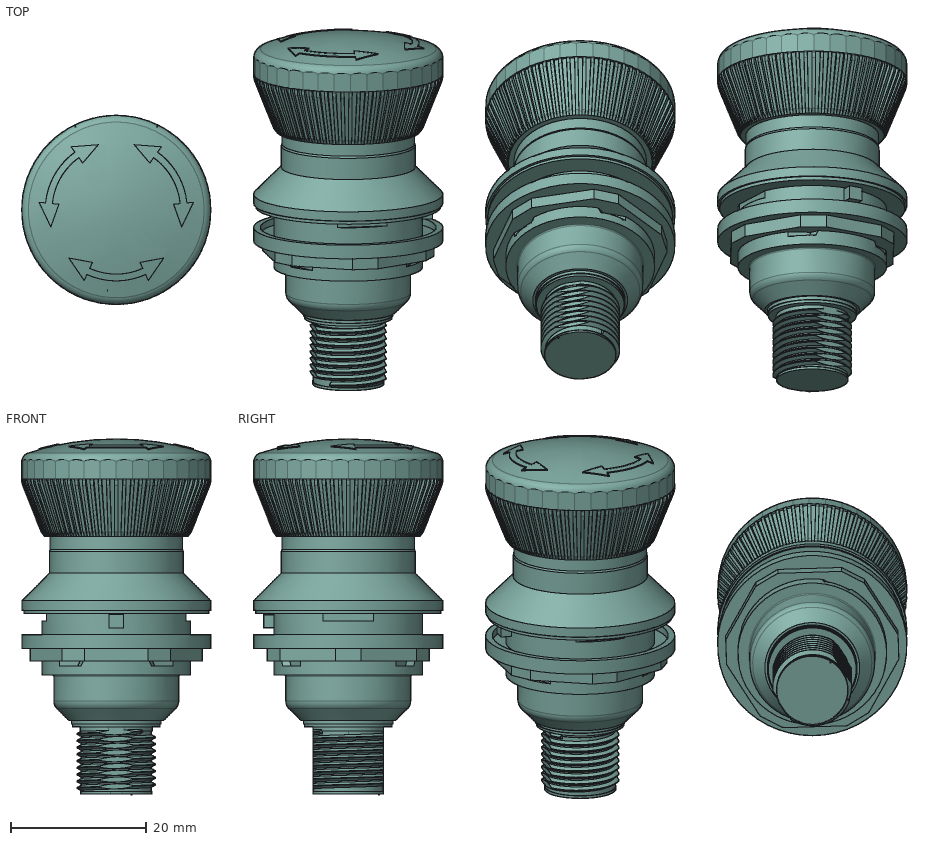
import cadquery as cq
import math


cap_radius = 14.0
cap_top_z = 52.56
cap_rim_bottom_z = 46.65
cap_bottom_z = 38.1
cap_foot_radius = 10.6
dome_edge_radius = 13.0
dome_height = 2.08
facet_count = 36

rib_count = 72
rib_width = 0.5
rib_height = 0.3
rib_root_depth = 1.0
rib_straight_length = 0.6
rib_foot_radius = 11.1
rib_foot_height = 0.65
rib_shoulder_fillet = 2.0

arrow_count = 3
arrow_height = 0.15
arrow_band_radius = 10.0
arrow_band_width = 1.0
arrow_head_width = 2.95
arrow_tip_angle = 44.6
arrow_head_base_angle = 24.4

neck_radius = 19.65 / 2
sleeve_radius = 19.85 / 2
sleeve_top_z = 36.2
sleeve_chamfer_height = 0.3
bezel_cone_top_z = 32.7
bezel_radius = 14.0
bezel_lip_radius = 27.4 / 2
bezel_lip_top_z = 27.2
bezel_bottom_z = 26.7

barrel_radius = 11.0
barrel_bottom_z = 17.6
barrel_flat_offset = 10.35
barrel_flat_height = 1.06
key_width = 2.1
key_reach = 12.5
key_gap = 0.12
key_height = 1.98

washer_radius = 14.0
washer_recess_radius = 13.0
washer_recess_depth = 1.03
washer_top_z = 23.6
washer_bottom_z = 21.55
nut_bottom_z = 19.68
nut_across_flats = 24.0
nut_across_cut_corners = 25.5

recess_shallow_end = (8.7, 6.95)
recess_inner_corner = (5.7, 8.45)
recess_mouth_end = (5.1, 10.0)
recess_height = 0.72
recess_flare_angle = 20.0

tail_radius = 18.5 / 2
tail_root_fillet = 0.15
tail_fillet_top_z = 13.76
tail_fillet = 1.5
tail_cone_angle = 45.0
tail_cone_bottom_z = 10.9
tail_collar_radius = 6.65
tail_ledge_radius = 6.5
tail_ledge_top_z = 10.38
tail_bottom_z = 9.96

stem_neck_radius = 5.35
stem_neck_bottom_z = 9.35
stem_core_radius = 5.2
stem_end_radius = 5.29
stem_end_length = 0.4
stem_flat_offset = 5.22
thread_radius = 5.83
thread_root_radius = 5.1
thread_pitch = 1.0
thread_root_width = 0.9
thread_crest_width = 0.1
thread_start_z = 0.81
thread_length = 8.48
thread_start_angle = 140.0
lead_tip_angle = 63.6
lead_tip_radius = 0.08
lead_tip_length = 0.1
lead_tip_root_length = 1.0

dome_sphere_radius = (dome_edge_radius**2 + dome_height**2) / (2 * dome_height)
dome_centre_z = cap_top_z - dome_sphere_radius


def polar(radius, degrees):
    angle = math.radians(degrees)
    return (radius * math.cos(angle), radius * math.sin(angle))


def disc(radius, bottom_z, top_z):
    return cq.Workplane("XY").workplane(offset=bottom_z).circle(radius).extrude(top_z - bottom_z)


def revolve_profile(profile):
    return profile.close().revolve(360, (0, 0, 0), (0, 1, 0))


def make_cap_crown():
    """Domed top with a rounded shoulder, trimmed to flat facets around the rim."""
    dome_edge_z = cap_top_z - dome_height
    contact_angle = math.acos(dome_edge_radius / dome_sphere_radius)
    shoulder_fillet = (cap_radius - dome_edge_radius) / (1 - math.cos(contact_angle))
    shoulder_z = dome_edge_z - shoulder_fillet * math.sin(contact_angle)
    half_radius = dome_edge_radius / 2
    half_z = dome_centre_z + math.sqrt(dome_sphere_radius**2 - half_radius**2)
    shoulder_mid = (
        cap_radius - shoulder_fillet * (1 - math.cos(contact_angle / 2)),
        shoulder_z + shoulder_fillet * math.sin(contact_angle / 2),
    )
    crown = revolve_profile(
        cq.Workplane("XZ")
        .moveTo(0, cap_rim_bottom_z)
        .lineTo(cap_radius, cap_rim_bottom_z)
        .lineTo(cap_radius, shoulder_z)
        .threePointArc(shoulder_mid, (dome_edge_radius, dome_edge_z))
        .threePointArc((half_radius, half_z), (0, cap_top_z))
    )
    facets = (
        cq.Workplane("XY")
        .workplane(offset=cap_rim_bottom_z)
        .polygon(facet_count, 2 * cap_radius)
        .extrude(cap_top_z - cap_rim_bottom_z)
    )
    return crown.intersect(facets)


def make_cap_grip():
    """Tapered underside of the cap with straight ribs running down it."""
    rib_foot_z = cap_bottom_z + rib_foot_height
    core = revolve_profile(
        cq.Workplane("XZ")
        .moveTo(0, cap_bottom_z)
        .lineTo(cap_foot_radius, cap_bottom_z)
        .lineTo(rib_foot_radius - rib_height, rib_foot_z)
        .lineTo(cap_radius - rib_height, cap_rim_bottom_z)
        .lineTo(0, cap_rim_bottom_z)
    )
    rib_top_radius = math.sqrt(cap_radius**2 - (rib_width / 2) ** 2)
    rib_inner_radius = cap_foot_radius - rib_root_depth
    shoulder_z = cap_rim_bottom_z - rib_straight_length
    rib = (
        cq.Workplane("XZ")
        .moveTo(rib_inner_radius, cap_bottom_z)
        .lineTo(cap_foot_radius, cap_bottom_z)
        .lineTo(rib_foot_radius, rib_foot_z)
        .lineTo(rib_top_radius, shoulder_z)
        .lineTo(rib_top_radius, cap_rim_bottom_z)
        .lineTo(rib_inner_radius, cap_rim_bottom_z)
        .close()
        .extrude(rib_width / 2, both=True)
        .edges(cq.selectors.NearestToPointSelector((rib_top_radius, 0, shoulder_z)))
        .fillet(rib_shoulder_fillet)
    )
    step = 360 / rib_count
    ribs = [rib.rotate((0, 0, 0), (0, 0, 1), i * step).val() for i in range(rib_count)]
    return cq.Workplane(core.val().fuse(*ribs))


def make_arrows():
    """Double-headed curved arrows standing slightly proud of the dome."""
    inner = arrow_band_radius - arrow_band_width / 2
    outer = arrow_band_radius + arrow_band_width / 2
    head_inner = arrow_band_radius - arrow_head_width / 2
    head_outer = arrow_band_radius + arrow_head_width / 2
    base = arrow_head_base_angle
    arrow = (
        cq.Workplane("XY")
        .workplane(offset=cap_rim_bottom_z)
        .moveTo(*polar(outer, -base))
        .threePointArc((outer, 0), polar(outer, base))
        .lineTo(*polar(head_outer, base))
        .lineTo(*polar(arrow_band_radius, arrow_tip_angle))
        .lineTo(*polar(head_inner, base))
        .lineTo(*polar(inner, base))
        .threePointArc((inner, 0), polar(inner, -base))
        .lineTo(*polar(head_inner, -base))
        .lineTo(*polar(arrow_band_radius, -arrow_tip_angle))
        .lineTo(*polar(head_outer, -base))
        .close()
        .extrude(cap_top_z - cap_rim_bottom_z)
    )
    raised_dome = cq.Workplane("XY").sphere(dome_sphere_radius + arrow_height)
    arrow = arrow.intersect(raised_dome.translate((0, 0, dome_centre_z)))
    arrows = cq.Workplane("XY")
    for i in range(arrow_count):
        arrows = arrows.add(arrow.rotate((0, 0, 0), (0, 0, 1), -90 + i * 360 / arrow_count))
    return arrows.combine()


def make_neck_and_bezel():
    """Stepped neck flaring at 45 degrees into the bezel flange."""
    cone_bottom_z = bezel_cone_top_z - (bezel_radius - sleeve_radius)
    return revolve_profile(
        cq.Workplane("XZ")
        .moveTo(0, cap_bottom_z)
        .lineTo(neck_radius, cap_bottom_z)
        .lineTo(neck_radius, sleeve_top_z)
        .lineTo(sleeve_radius, sleeve_top_z - sleeve_chamfer_height)
        .lineTo(sleeve_radius, bezel_cone_top_z)
        .lineTo(bezel_radius, cone_bottom_z)
        .lineTo(bezel_radius, bezel_lip_top_z)
        .lineTo(bezel_lip_radius, bezel_lip_top_z)
        .lineTo(bezel_lip_radius, bezel_bottom_z)
        .lineTo(0, bezel_bottom_z)
    )


def make_recess_cutter():
    """Pocket in the first quadrant with an upright back wall and end walls that flare upwards."""
    shallow_x, shallow_y = recess_shallow_end
    inner_x, inner_y = recess_inner_corner
    outer_y = recess_mouth_end[1]
    floor_plane = cq.Workplane("XY").workplane(offset=nut_bottom_z - recess_height)
    pocket = (
        floor_plane.moveTo(shallow_x, shallow_y)
        .lineTo(inner_x, inner_y)
        .lineTo(*recess_mouth_end)
        .lineTo(shallow_x, outer_y)
        .close()
        .extrude(recess_height, taper=-recess_flare_angle)
    )
    produced_x = 2 * inner_x - shallow_x
    produced_y = 2 * inner_y - shallow_y
    front_of_back_wall = (
        floor_plane.moveTo(shallow_x, shallow_y)
        .lineTo(produced_x, produced_y)
        .lineTo(produced_x, outer_y + barrel_radius)
        .lineTo(shallow_x, outer_y + barrel_radius)
        .close()
        .extrude(recess_height)
    )
    return pocket.intersect(front_of_back_wall)


def make_barrel():
    """Panel barrel with two side flats, a locating key and four recesses below the nut."""
    barrel = disc(barrel_radius, barrel_bottom_z, bezel_bottom_z)
    flat_depth = barrel_radius - barrel_flat_offset
    flat_centre_z = bezel_bottom_z - barrel_flat_height / 2
    for side in (-1, 1):
        flat = cq.Workplane("XY").box(flat_depth, 2 * barrel_radius, barrel_flat_height)
        barrel = barrel.cut(flat.translate((side * (barrel_flat_offset + flat_depth / 2), 0, flat_centre_z)))

    key_depth = key_reach / 2
    key = cq.Workplane("XY").box(key_width, key_depth, key_height)
    key_centre_z = bezel_bottom_z - key_gap - key_height / 2
    barrel = barrel.union(key.translate((0, -key_reach + key_depth / 2, key_centre_z)))

    right_recess = make_recess_cutter()
    for recess in (right_recess, right_recess.mirror("YZ")):
        barrel = barrel.cut(recess).cut(recess.mirror("XZ"))
    return barrel


def make_washer():
    """Round washer with a recess around the barrel."""
    washer = disc(washer_radius, washer_bottom_z, washer_top_z)
    return washer.cut(disc(washer_recess_radius, washer_top_z - washer_recess_depth, washer_top_z))


def hexagon(across_flats):
    return (
        cq.Workplane("XY")
        .workplane(offset=nut_bottom_z)
        .polygon(6, across_flats / math.cos(math.pi / 6))
        .extrude(washer_bottom_z - nut_bottom_z)
    )


def make_nut():
    """Hexagonal nut whose corners are cut by a second hexagon turned 30 degrees."""
    corner_cut = hexagon(nut_across_cut_corners).rotate((0, 0, 0), (0, 0, 1), 30)
    return hexagon(nut_across_flats).intersect(corner_cut)


def make_tail():
    """Cylinder that rounds into a 45 degree cone and ends in a small ledge."""
    turn = math.radians(tail_cone_angle)
    fillet_centre_radius = tail_radius - tail_fillet
    fillet_mid = (
        fillet_centre_radius + tail_fillet * math.cos(turn / 2),
        tail_fillet_top_z - tail_fillet * math.sin(turn / 2),
    )
    fillet_end_radius = fillet_centre_radius + tail_fillet * math.cos(turn)
    fillet_end_z = tail_fillet_top_z - tail_fillet * math.sin(turn)
    cone_end_radius = fillet_end_radius - (fillet_end_z - tail_cone_bottom_z) * math.tan(turn)
    return revolve_profile(
        cq.Workplane("XZ")
        .moveTo(0, barrel_bottom_z)
        .lineTo(tail_radius + tail_root_fillet, barrel_bottom_z)
        .radiusArc((tail_radius, barrel_bottom_z - tail_root_fillet), -tail_root_fillet)
        .lineTo(tail_radius, tail_fillet_top_z)
        .threePointArc(fillet_mid, (fillet_end_radius, fillet_end_z))
        .lineTo(cone_end_radius, tail_cone_bottom_z)
        .lineTo(tail_collar_radius, tail_cone_bottom_z)
        .lineTo(tail_collar_radius, tail_ledge_top_z)
        .lineTo(tail_ledge_radius, tail_ledge_top_z)
        .lineTo(tail_ledge_radius, tail_bottom_z)
        .lineTo(0, tail_bottom_z)
    )


def make_thread_ridge():
    """Helical ridge with a tapered section, bounded by ruled faces between helices."""
    half_root = thread_root_width / 2
    half_crest = thread_crest_width / 2
    section = [
        (thread_root_radius, -half_root),
        (thread_radius, -half_crest),
        (thread_radius, half_crest),
        (thread_root_radius, half_root),
    ]
    helices = [
        cq.Wire.makeHelix(thread_pitch, thread_length, radius).translate(cq.Vector(0, 0, height))
        for radius, height in section
    ]
    faces = [cq.Face.makeRuledSurface(helices[i - 1], helices[i]) for i in range(len(section))]
    corners = [cq.Vector(radius, 0, height) for radius, height in section]
    start_outline = cq.Wire.makePolygon(corners, close=True)
    start_face = cq.Face.makeFromWires(start_outline)
    end_turn = 360 * thread_length / thread_pitch
    axis_start = cq.Vector(0, 0, 0)
    axis_end = cq.Vector(0, 0, 1)
    end_face = start_face.rotate(axis_start, axis_end, end_turn).translate(cq.Vector(0, 0, thread_length))
    shell = cq.Shell.makeShell(faces + [start_face, end_face])
    ridge = cq.Workplane(cq.Solid.makeSolid(shell))
    return ridge.rotate((0, 0, 0), (0, 0, 1), thread_start_angle).translate((0, 0, thread_start_z))


def make_stem():
    """Stem with a right-hand helical thread, flattened on its two Y sides."""
    core = disc(stem_core_radius, 0, tail_bottom_z)
    neck = disc(stem_neck_radius, stem_neck_bottom_z, tail_bottom_z)
    end_collar = disc(stem_end_radius, 0, stem_end_length)
    stem = core.union(make_thread_ridge()).union(neck).union(end_collar)
    flats = cq.Workplane("XY").box(4 * thread_radius, 2 * stem_flat_offset, 4 * tail_bottom_z)
    stem = stem.intersect(flats)

    tip_x, tip_y = polar(thread_root_radius, lead_tip_angle)
    tip = disc(lead_tip_radius, -lead_tip_length, lead_tip_root_length)
    return stem.union(tip.translate((tip_x, tip_y, 0)))


result = (
    make_cap_crown()
    .union(make_arrows())
    .union(make_cap_grip())
    .union(make_neck_and_bezel())
    .union(make_barrel())
    .union(make_washer())
    .union(make_nut())
    .union(make_tail())
    .union(make_stem())
)